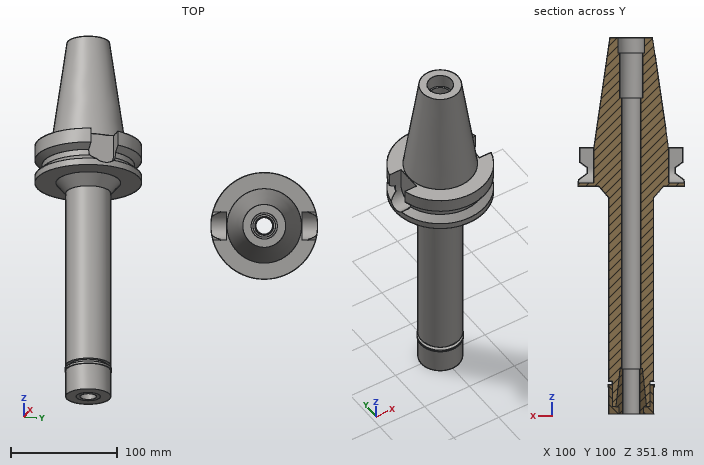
import cadquery as cq

total_length = 351.8
spigot_bottom_z = 7.0
ring_bottom_z = 25.5
nut_top_z = 27.5
shank_bottom_z = 30.5
shank_top_z = 202.3
flange_bottom_z = 213.0
groove_lower_edge_z = 219.0
groove_floor_bottom_z = 224.8
groove_floor_top_z = 230.5
groove_upper_edge_z = 235.5
flange_top_z = 249.0
taper_base_z = 250.0
collet_top_z = 42.2

flange_radius = 50.0
groove_radius = 43.3
taper_base_radius = 35.0
taper_top_radius = 20.0
shank_radius = 21.0
shoulder_radius = 30.3
spigot_radius = 18.0
nut_radius = 21.0
ring_radius = 21.8

slot_width = 26.5
slot_bottom_z = 216.0
slot_floor_distance = 35.2

mouth_radius = 12.3
mouth_depth = 14.0
thread_bore_radius = 10.5
thread_bore_depth = 56.3
coolant_bore_radius = 8.8

collet_bore_radius = 7.7
collet_nose_radius = 11.3
collet_base_radius = 14.0
collet_top_radius = 10.2


def revolve_profile(points):
    """Turn a closed (radius, height) outline about the Z axis."""
    return cq.Workplane("XZ").polyline(points).close().revolve(360, (0, 0, 0), (0, 1, 0))


def cylinder(radius, bottom_z, top_z):
    return cq.Workplane("XY").workplane(offset=bottom_z).circle(radius).extrude(top_z - bottom_z)


def make_collet_envelope():
    """Nose and taper of the collet, without its bore; also shapes its seats."""
    return revolve_profile([
        (0, 0),
        (collet_nose_radius, 0),
        (collet_nose_radius, spigot_bottom_z),
        (collet_base_radius, spigot_bottom_z),
        (collet_top_radius, collet_top_z),
        (0, collet_top_z),
    ])


def make_drive_slot(side):
    """Round-bottomed slot cutter; side is -1 or +1 along X."""
    half_width = slot_width / 2
    slot_length = flange_radius
    return (
        cq.Workplane("YZ")
        .workplane(offset=side * slot_floor_distance)
        .moveTo(-half_width, taper_base_z)
        .lineTo(-half_width, slot_bottom_z + half_width)
        .threePointArc((0, slot_bottom_z), (half_width, slot_bottom_z + half_width))
        .lineTo(half_width, taper_base_z)
        .close()
        .extrude(side * slot_length)
    )


def make_holder_blank():
    """Spigot, shank, grooved flange and taper."""
    return revolve_profile([
        (0, spigot_bottom_z),
        (spigot_radius, spigot_bottom_z),
        (spigot_radius, shank_bottom_z),
        (shank_radius, shank_bottom_z),
        (shank_radius, shank_top_z),
        (shoulder_radius, flange_bottom_z),
        (flange_radius, flange_bottom_z),
        (flange_radius, groove_lower_edge_z),
        (groove_radius, groove_floor_bottom_z),
        (groove_radius, groove_floor_top_z),
        (flange_radius, groove_upper_edge_z),
        (flange_radius, flange_top_z),
        (taper_base_radius, flange_top_z),
        (taper_base_radius, taper_base_z),
        (taper_top_radius, total_length),
        (0, total_length),
    ])


def make_holder():
    holder = make_holder_blank()
    for side in (-1, 1):
        holder = holder.cut(make_drive_slot(side))
    holder = holder.cut(cylinder(mouth_radius, total_length - mouth_depth, total_length))
    holder = holder.cut(cylinder(thread_bore_radius, total_length - thread_bore_depth, total_length))
    holder = holder.cut(cylinder(coolant_bore_radius, spigot_bottom_z, total_length))
    return holder.cut(make_collet_envelope())


def make_nut():
    """Clamping nut with a thin ring at its top, a spigot recess and a nose hole."""
    nut = cylinder(nut_radius, 0, nut_top_z)
    nut = nut.union(cylinder(ring_radius, ring_bottom_z, nut_top_z))
    nut = nut.cut(cylinder(spigot_radius, spigot_bottom_z, nut_top_z))
    return nut.cut(cylinder(collet_nose_radius, 0, spigot_bottom_z))


def make_collet():
    return make_collet_envelope().cut(cylinder(collet_bore_radius, 0, collet_top_z))


holder = make_holder()
nut = make_nut()
collet = make_collet()

result = cq.Compound.makeCompound([holder.val(), nut.val(), collet.val()])